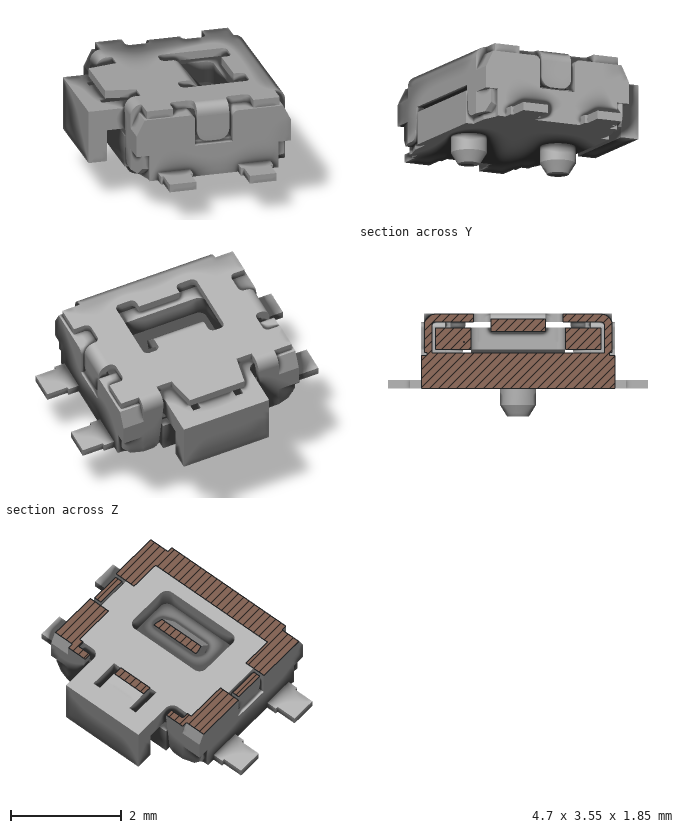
import cadquery as cq
import math


total_width = 4.7
total_depth = 3.55
total_height = 1.85

base_half_x = 1.75
base_depth = 2.9
base_half_y = base_depth / 2
base_top = 1.2
base_chamfer_depth = 0.15
base_chamfer_height = 0.3
cavity_half_x = 1.315
cavity_front_y = -1.17
cavity_back_y = 0.96
cavity_floor = 0.65
opening_half_x = 1.22
sill_half_x = 0.96
sill_top = 0.6
side_sill_x = 1.65
side_notch_half_y = 0.352
side_notch_rounding = 0.1

sheet = 0.15
bend_radius = 0.2
bend_overlap = 0.01
cover_top = base_top + sheet
cover_half_x = 1.7
bend_start_y = base_half_y - bend_radius
bend_start_z = cover_top - bend_radius
sheet_inner_y = base_half_y - sheet
edge_slot_x = 1.4
edge_slot_end_y = 0.75
corner_radius = 0.1

flange_half_x = 1.35
flange_bottom = 0.1
flange_inner_top_x = 0.95
flange_inner_bottom_x = 1.055
flange_corner_radius = 0.15
skirt_bottom = 0.7
wing_top = 0.5
wing_tip_x = 1.725
wing_chamfer = 0.15
wing_angle = 17.0
wing_seat_x = 1.65

tab_half_y = 0.3
tab_bottom = 0.65
tab_corner_radius = 0.2

window_half_x = 0.805
window_back_y = 0.95
window_front_y = -0.35
bar_half_x = 0.405
bar_y = 0.75
tongue_half_x = 0.5
tongue_tip_half_x = 0.405
tongue_bend_y = -0.14
tongue_tip_y = 0.41
tongue_angle = 50.0

lip_notch_y = -1.145
lip_root_half_x = 0.65
lip_tip_half_x = 0.545
lip_front_y = -1.7

slider_bottom = 0.7
slider_top = 1.1
slider_lug_half_x = 1.5
slider_front_y = cavity_front_y
slider_window_half_x = 0.85
slider_window_back_y = 0.7
slider_window_radius = 0.15
slider_fillet = 0.15
button_half_x = 0.85
button_thickness = 0.35
button_bottom = 0.1
button_front_y = base_half_y - total_depth
finger_half_x = 0.35
finger_slot_half_x = 0.5
finger_rise = 0.03
finger_ramp_y = -1.55

terminal_y = 0.75
terminal_thickness = 0.15
terminal_root_width = 0.6
terminal_tip_width = 0.5
terminal_step_x = 1.95

pin_y = 0.902
pin_diameter = 0.65
pin_tip_diameter = 0.4
pin_straight = 0.3
pin_length = total_height - cover_top


def block(x0, x1, y0, y1, z0, z1):
    """Axis-aligned box between the given limits."""
    return cq.Workplane("XY").box(x1 - x0, y1 - y0, z1 - z0, centered=False).translate((x0, y0, z0))


def wide_block(half_x, y0, y1, z0, z1):
    """Box centred on X = 0."""
    return block(-half_x, half_x, y0, y1, z0, z1)


def prism(points, z0, z1):
    """Plan outline raised from z0 to z1."""
    return cq.Workplane("XY").workplane(offset=z0).polyline(points).close().extrude(z1 - z0)


def both_x(shape):
    return shape.union(shape.mirror("YZ"))


def both_y(shape):
    return shape.union(shape.mirror("XZ"))


wing_slope = math.tan(math.radians(wing_angle))
wing_end_y = -base_half_y + (wing_tip_x - flange_half_x) * wing_slope
wing_shift_x = sheet * math.sin(math.radians(wing_angle))
wing_shift_y = sheet * math.cos(math.radians(wing_angle))
wing_seat_y = -sheet_inner_y + (wing_seat_x - flange_half_x) * wing_slope


def make_base():
    base = wide_block(base_half_x, -base_half_y, base_half_y, 0, base_top)

    edge = (
        cq.Workplane("YZ")
        .moveTo(-base_half_y, base_top)
        .lineTo(-base_half_y + base_chamfer_depth, base_top)
        .lineTo(-base_half_y, base_top - base_chamfer_height)
        .close()
        .extrude(base_half_x, both=True)
    )
    base = base.cut(both_y(edge))

    seat = block(sill_half_x, flange_half_x, -base_half_y, -sheet_inner_y, 0, base_top)
    wing_seat = prism(
        [
            (flange_half_x, -base_half_y),
            (flange_half_x, -sheet_inner_y),
            (wing_seat_x, wing_seat_y),
            (base_half_x, wing_seat_y),
            (base_half_x, -base_half_y),
        ],
        0,
        wing_top,
    )
    base = base.cut(both_y(both_x(seat.union(wing_seat))))

    base = base.cut(wide_block(cavity_half_x, cavity_front_y, cavity_back_y, cavity_floor, base_top))
    base = base.cut(wide_block(opening_half_x, -base_half_y, cavity_front_y, cavity_floor, base_top))
    base = base.cut(wide_block(opening_half_x, cavity_back_y, base_half_y, cavity_floor, slider_bottom))
    sill = wide_block(sill_half_x, -base_half_y, -sheet_inner_y, sill_top, base_top)
    base = base.cut(both_y(sill))

    notch_outline = (
        cq.Workplane("YZ")
        .moveTo(-side_notch_half_y - side_notch_rounding, base_top)
        .radiusArc((-side_notch_half_y, base_top - side_notch_rounding), side_notch_rounding)
        .lineTo(-side_notch_half_y, cavity_floor)
        .lineTo(side_notch_half_y, cavity_floor)
        .lineTo(side_notch_half_y, base_top - side_notch_rounding)
        .radiusArc((side_notch_half_y + side_notch_rounding, base_top), side_notch_rounding)
        .close()
    )
    base = base.cut(notch_outline.extrude(base_half_x, both=True))
    side_sill = block(
        side_sill_x, base_half_x, -side_notch_half_y, side_notch_half_y, sill_top, cavity_floor
    )
    return base.cut(both_x(side_sill))


def bend_profile(plane, outer, bottom):
    """Section of a sheet bent from the cover top down to the given height."""
    turn = math.sqrt(0.5)
    inner_radius = bend_radius - sheet
    centre = outer - bend_radius
    outer_middle = (centre + bend_radius * turn, bend_start_z + bend_radius * turn)
    inner_middle = (centre + inner_radius * turn, bend_start_z + inner_radius * turn)
    return (
        cq.Workplane(plane)
        .moveTo(centre, cover_top)
        .threePointArc(outer_middle, (outer, bend_start_z))
        .lineTo(outer, bottom)
        .lineTo(outer - sheet, bottom)
        .lineTo(outer - sheet, bend_start_z)
        .threePointArc(inner_middle, (centre, base_top))
        .close()
    )


def make_flange_legs():
    """Pair of front legs with wings folded back around the base corners."""
    leg = (
        cq.Workplane("XZ")
        .moveTo(flange_inner_top_x, bend_start_z)
        .lineTo(flange_half_x, bend_start_z)
        .lineTo(flange_half_x, wing_top)
        .lineTo(wing_tip_x, wing_top)
        .lineTo(wing_tip_x, flange_bottom + wing_chamfer)
        .lineTo(wing_tip_x - wing_chamfer, flange_bottom)
        .lineTo(flange_inner_bottom_x, flange_bottom)
        .close()
        .extrude(base_half_y)
        .edges(cq.selectors.NearestToPointSelector((flange_inner_bottom_x, -base_half_y / 2, flange_bottom)))
        .fillet(flange_corner_radius)
    )
    folded_sheet = prism(
        [
            (0, -base_half_y),
            (flange_half_x, -base_half_y),
            (wing_tip_x, wing_end_y),
            (wing_tip_x - wing_shift_x, wing_end_y + wing_shift_y),
            (flange_half_x, -sheet_inner_y),
            (0, -sheet_inner_y),
        ],
        flange_bottom,
        bend_start_z,
    )
    return both_x(leg.intersect(folded_sheet))


def make_tongue():
    """Spring tongue bent down into the window and tapering to its tip."""
    angle = math.radians(tongue_angle)
    bend_end = (tongue_bend_y + sheet * math.sin(angle), base_top + sheet * math.cos(angle))
    drop = (tongue_tip_y - bend_end[0]) * math.tan(angle)
    tip = (tongue_tip_y, bend_end[1] - drop)
    middle = (tongue_bend_y + sheet * math.sin(angle / 2), base_top + sheet * math.cos(angle / 2))
    strip = (
        cq.Workplane("YZ")
        .moveTo(window_front_y, cover_top)
        .lineTo(tongue_bend_y, cover_top)
        .threePointArc(middle, bend_end)
        .lineTo(*tip)
        .lineTo(tip[0] - sheet * math.sin(angle), tip[1] - sheet * math.cos(angle))
        .lineTo(tongue_bend_y, base_top)
        .lineTo(window_front_y, base_top)
        .close()
        .extrude(tongue_half_x, both=True)
    )
    plan = prism(
        [
            (-tongue_half_x, window_front_y),
            (tongue_half_x, window_front_y),
            (tongue_half_x, bend_end[0]),
            (tongue_tip_half_x, tongue_tip_y),
            (-tongue_tip_half_x, tongue_tip_y),
            (-tongue_half_x, bend_end[0]),
        ],
        0,
        cover_top,
    )
    return strip.intersect(plan)


def make_cover():
    cover = wide_block(cover_half_x, -bend_start_y, bend_start_y, base_top, cover_top)

    slot = (
        block(edge_slot_x, base_half_x + corner_radius, tab_half_y, edge_slot_end_y, base_top, cover_top)
        .edges("|Z")
        .fillet(corner_radius)
    )
    cover = cover.cut(both_y(both_x(slot)))

    tab_start_x = cover_half_x - bend_radius
    tab_clearance = block(tab_start_x, cover_half_x, -tab_half_y, tab_half_y, base_top, cover_top)
    cover = cover.cut(both_x(tab_clearance))
    tab = bend_profile("XZ", cover_half_x, tab_bottom).extrude(tab_half_y, both=True)
    tab = tab.faces("<Z").edges("|X").fillet(tab_corner_radius)
    cover = cover.union(both_x(tab))

    window = wide_block(window_half_x, window_front_y, window_back_y, base_top, cover_top)
    window = window.cut(wide_block(bar_half_x, bar_y, window_back_y, base_top, cover_top))
    window = window.cut(wide_block(tongue_half_x, window_front_y, tongue_bend_y, base_top, cover_top))
    rounded = window.edges("|Z and (>Y or <Y)").fillet(corner_radius)
    cover = cover.cut(rounded).union(make_tongue())

    notch = block(0, flange_inner_top_x, -bend_start_y, lip_notch_y, base_top, cover_top)
    lip = prism(
        [
            (-lip_root_half_x, lip_notch_y),
            (lip_root_half_x, lip_notch_y),
            (lip_tip_half_x, lip_front_y),
            (-lip_tip_half_x, lip_front_y),
        ],
        base_top,
        cover_top,
    )
    cover = cover.cut(both_x(notch)).union(lip)

    skirt = bend_profile("YZ", base_half_y, skirt_bottom).extrude(flange_half_x, both=True)
    front_bend = (
        bend_profile("YZ", base_half_y, bend_start_z - bend_overlap)
        .extrude(flange_half_x, both=True)
        .mirror("XZ")
        .cut(wide_block(flange_inner_top_x, -base_half_y, 0, 0, cover_top))
    )
    return cover.union(skirt).union(front_bend).union(both_y(make_flange_legs()))


def make_slider():
    slider = wide_block(cavity_half_x, slider_front_y, cavity_back_y, slider_bottom, slider_top)
    arm = wide_block(button_half_x, button_front_y, slider_front_y, slider_bottom, slider_top)
    slider = slider.union(arm)
    for corner_x in (-button_half_x, button_half_x):
        inner_corner = cq.selectors.NearestToPointSelector((corner_x, slider_front_y, slider_top))
        slider = slider.edges("|Z").edges(inner_corner).fillet(slider_fillet)

    window = wide_block(
        slider_window_half_x, window_front_y, slider_window_back_y, slider_bottom, slider_top
    )
    slider = slider.cut(window.edges("|Z").fillet(slider_window_radius))

    lug = block(
        cavity_half_x, slider_lug_half_x, -side_notch_half_y, side_notch_half_y, slider_bottom, slider_top
    )
    slider = slider.union(both_x(lug))

    button_back_y = button_front_y + button_thickness
    slot = block(finger_half_x, finger_slot_half_x, button_back_y, slider_front_y, slider_bottom, slider_top)
    finger = (
        cq.Workplane("YZ")
        .moveTo(finger_ramp_y, slider_top)
        .lineTo(slider_front_y, slider_top)
        .lineTo(slider_front_y, slider_top + finger_rise)
        .close()
        .extrude(finger_half_x, both=True)
    )
    slider = slider.cut(both_x(slot)).union(finger)

    button = wide_block(button_half_x, button_front_y, button_back_y, button_bottom, slider_top)
    return slider.union(button)


def make_terminals():
    half_root = terminal_root_width / 2
    half_tip = terminal_tip_width / 2
    root = block(
        base_half_x, terminal_step_x, terminal_y - half_root, terminal_y + half_root, 0, terminal_thickness
    )
    tip = block(
        terminal_step_x, total_width / 2, terminal_y - half_tip, terminal_y + half_tip, 0, terminal_thickness
    )
    return both_y(both_x(root.union(tip)))


def make_pins():
    pin = (
        cq.Workplane("XZ")
        .lineTo(pin_diameter / 2, 0)
        .lineTo(pin_diameter / 2, -pin_straight)
        .lineTo(pin_tip_diameter / 2, -pin_length)
        .lineTo(0, -pin_length)
        .close()
        .revolve(360, (0, 0, 0), (0, 1, 0))
        .translate((0, pin_y, 0))
    )
    return both_y(pin)


result = make_base().union(make_cover()).union(make_slider()).union(make_terminals()).union(make_pins())